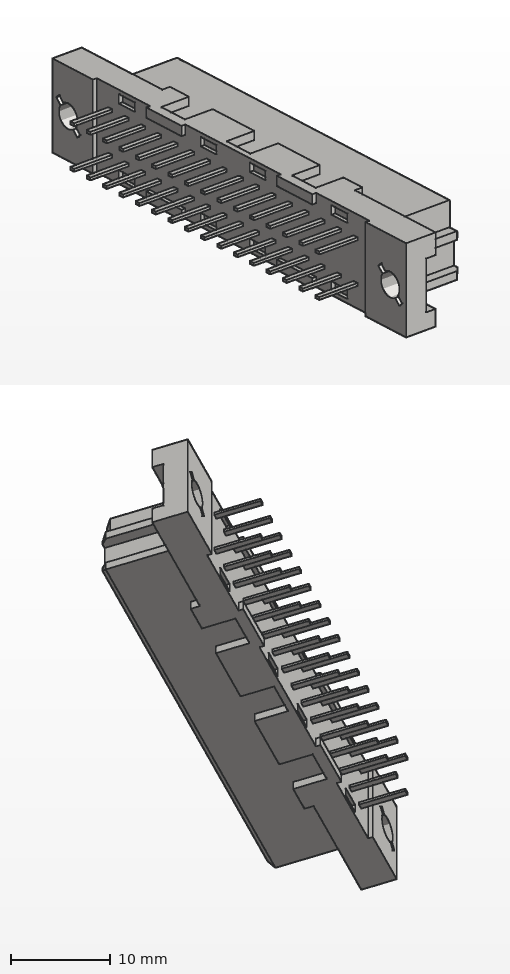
import cadquery as cq
import math


length = 55.0
height = 10.5
flange_depth = 3.85
end_width = 6.3
front_relief = 0.5

pitch = 2.54
pins_per_row = 16
row_spacing = 2 * pitch
pin_width = 0.6
pin_thickness = 0.35
pin_length = 4.5

tab_offset = 4 * pitch
tab_width = 5.5
tab_height = 1.15
window_offsets = (1.5 * pitch, 6.5 * pitch)
window_width = 2.4
window_height = 1.05
window_depth = 0.5
window_z = 4.25

lip_length = 29.9
lip_back = 4.85
notch_width = 3.7
notch_front = 1.2

body_back = 11.6
body_height = 8.45
body_length = length - 2 * end_width
rib_reach = 1.15
rib_thickness = 1.0
upper_rib_top = 1.2
body_chamfer = 0.6

hole_x = 25.0
hole_z = -0.3
hole_diameter = 2.85
slit_length = 4.6
slit_width = 0.6
slit_angle = -45
nut_corners = 6.0
nut_front = 2.65


def block(x_range, y_range, z_range):
    """Box spanning the given ranges."""
    spans = [high - low for low, high in (x_range, y_range, z_range)]
    corner = (x_range[0], y_range[0], z_range[0])
    return cq.Workplane("XY").box(*spans, centered=False).translate(corner)


def centered_block(x, width, y_range, z, thickness):
    """Box centred at x and z, spanning y_range."""
    return block(
        (x - width / 2, x + width / 2),
        y_range,
        (z - thickness / 2, z + thickness / 2),
    )


def mirrored(offset):
    """Pair of places on either side of the centre."""
    return (-offset, offset)


def make_flange():
    flange = centered_block(0, length, (0, flange_depth), 0, height)
    flange = flange.union(centered_block(0, lip_length, (0, lip_back), 0, height))
    relief = centered_block(0, body_length, (0, front_relief), 0, height)
    tab_z = (height - tab_height) / 2
    for x in mirrored(tab_offset):
        for z in mirrored(tab_z):
            relief = relief.cut(centered_block(x, tab_width, (0, front_relief), z, tab_height))
    flange = flange.cut(relief)

    window_back = front_relief + window_depth
    window_centers = [x for offset in window_offsets for x in mirrored(offset)]
    for x in window_centers:
        for z in mirrored(window_z):
            window = centered_block(x, window_width, (front_relief, window_back), z, window_height)
            flange = flange.cut(window)

    wall = (height - body_height) / 2
    for x in (-tab_offset, 0, tab_offset):
        for z in mirrored((height - wall) / 2):
            flange = flange.cut(centered_block(x, notch_width, (notch_front, lip_back), z, wall))
    return flange


def make_body():
    rib_length = body_length + 2 * rib_reach
    bottom = -body_height / 2
    body = centered_block(0, body_length, (flange_depth, body_back), 0, body_height)
    ribbed = block(
        (-rib_length / 2, rib_length / 2),
        (flange_depth, body_back),
        (bottom, upper_rib_top),
    )
    body = body.union(ribbed).faces(">Y").chamfer(body_chamfer)

    gap = (bottom + rib_thickness, upper_rib_top - rib_thickness)
    right_gap = block((body_length / 2, rib_length / 2), (flange_depth, body_back), gap)
    return body.cut(right_gap).cut(right_gap.mirror("YZ"))


def make_pins():
    pins = cq.Workplane("XY")
    for index in range(pins_per_row):
        x = (index - (pins_per_row - 1) / 2) * pitch
        for z in mirrored(row_spacing / 2):
            pins = pins.union(centered_block(x, pin_width, (-pin_length, front_relief), z, pin_thickness))
    return pins


def make_mounting_cut(side):
    """Hole, diagonal key slit and nut slot; side is -1 at the left end, 1 at the right."""
    x = side * hole_x
    hole_plane = cq.Workplane("XZ", origin=(x, 0, hole_z))
    hole = hole_plane.circle(hole_diameter / 2).extrude(-flange_depth)
    slit = (
        hole_plane.transformed(rotate=(0, 0, slit_angle))
        .rect(slit_length, slit_width)
        .extrude(-flange_depth)
    )

    corner = nut_corners / 2
    inner_x = x - side * corner * math.cos(math.pi / 6)
    outer_x = side * length / 2
    nut_slot = (
        cq.Workplane("XZ", origin=(0, nut_front, hole_z))
        .polyline([
            (outer_x, corner),
            (x, corner),
            (inner_x, corner / 2),
            (inner_x, -corner / 2),
            (x, -corner),
            (outer_x, -corner),
        ])
        .close()
        .extrude(nut_front - flange_depth)
    )
    return hole.union(slit).union(nut_slot)


flange = make_flange()
for side in (-1, 1):
    flange = flange.cut(make_mounting_cut(side))

result = flange.union(make_body()).union(make_pins())